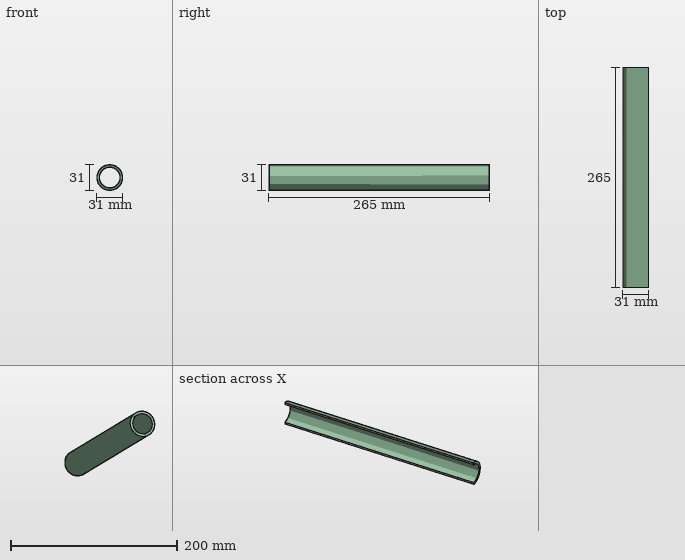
import cadquery as cq

length = 265.0
outer_diameter = 31.0
wall_thickness = 3.2
inner_diameter = outer_diameter - 2 * wall_thickness

result = (
    cq.Workplane("XZ", origin=(0, length / 2, 0))
    .circle(outer_diameter / 2)
    .circle(inner_diameter / 2)
    .extrude(length)
)